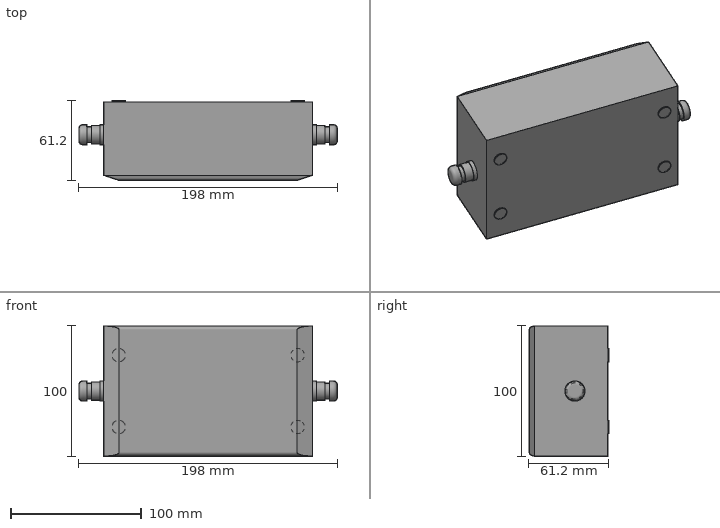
import cadquery as cq

overall_length = 198.0
body_length = 160.0
body_height = 100.0
overall_depth = 61.2
foot_thickness = 1.0
foot_diameter = 10.3
foot_spacing_x = 137.0
foot_spacing_z = 55.0

cover_depth = 4.0
slope_length = 11.9
edge_taper = 1.29
cover_edge_radius = 2.5

connector_to_back = 25.1
flange_radius = 7.7
flange_length = 3.0
barrel_radius = 7.1
barrel_end = 9.5
groove_radius = 6.1
groove_end = 12.9
tip_fillet = 3.0

front_y = -overall_depth / 2
back_y = overall_depth / 2 - foot_thickness
body_end = body_length / 2
connector_length = (overall_length - body_length) / 2
connector_y = back_y - connector_to_back


def make_housing():
    """Box with two tapered, rounded front edges and a shallow slope at each end."""
    front_half_height = body_height / 2 - edge_taper
    side_plane = cq.Plane((0, 0, 0), xDir=(0, 1, 0), normal=(1, 0, 0))
    rounded = (
        cq.Workplane(side_plane)
        .polyline([
            (back_y, -body_height / 2),
            (back_y, body_height / 2),
            (front_y + cover_depth, body_height / 2),
            (front_y, front_half_height),
            (front_y, -front_half_height),
            (front_y + cover_depth, -body_height / 2),
        ])
        .close()
        .extrude(body_length / 2, both=True)
        .edges("|X and <Y")
        .fillet(cover_edge_radius)
    )
    sloped_outline = (
        cq.Workplane("XY")
        .polyline([
            (-body_end, back_y),
            (body_end, back_y),
            (body_end, front_y + cover_depth),
            (body_end - slope_length, front_y),
            (-body_end + slope_length, front_y),
            (-body_end, front_y + cover_depth),
        ])
        .close()
        .extrude(body_height / 2, both=True)
    )
    return rounded.intersect(sloped_outline)


def make_connector(side):
    """Stepped round plug; side is 1 for the +X end and -1 for the -X end."""
    steps = [
        (flange_radius, 0, flange_length),
        (barrel_radius, flange_length, barrel_end),
        (groove_radius, barrel_end, groove_end),
    ]
    end_plane = cq.Plane((side * body_end, connector_y, 0), xDir=(0, 1, 0), normal=(side, 0, 0))
    plug = (
        cq.Workplane(end_plane)
        .workplane(offset=groove_end)
        .circle(flange_radius)
        .extrude(connector_length - groove_end)
        .faces(">X" if side > 0 else "<X")
        .edges()
        .fillet(tip_fillet)
    )
    for radius, start, end in steps:
        step = cq.Workplane(end_plane).workplane(offset=start).circle(radius).extrude(end - start)
        plug = plug.union(step)
    return plug


def make_feet():
    """Four thin round feet on the back face."""
    back_plane = cq.Plane((0, back_y, 0), xDir=(1, 0, 0), normal=(0, 1, 0))
    return (
        cq.Workplane(back_plane)
        .rect(foot_spacing_x, foot_spacing_z, forConstruction=True)
        .vertices()
        .circle(foot_diameter / 2)
        .extrude(foot_thickness)
    )


result = make_housing().union(make_feet())
for side in (-1, 1):
    result = result.union(make_connector(side))